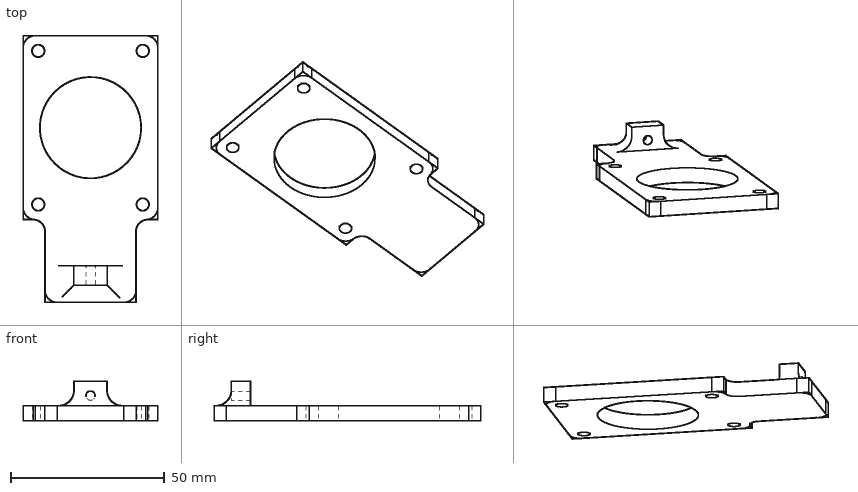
import cadquery as cq
import math

HEAD_WIDTH = 44.0
HEAD_LENGTH = 60.0
TOTAL_LENGTH = 87.0
TONGUE_WIDTH = 29.75
PLATE_THICKNESS = 5.0
CORNER_RADIUS = 4.0
WEB_RADIUS = 3.8

BORE_DIAMETER = 33.0
MOUNT_HOLE_DIAMETER = 4.0
MOUNT_HOLE_INSET = 5.0

TOTAL_HEIGHT = 13.0
LUG_WIDTH = 10.9
LUG_DEPTH = 6.35
LUG_FILLET = 5.0
LUG_TOE_GAP = 0.6
EDGE_BAND_INSET = 0.8
EDGE_BAND_DROP = 1.05
NUT_ACROSS_FLATS = 5.6
SCREW_HOLE_DIAMETER = 3.0
SCREW_HEIGHT = 3.3

HEAD_FRONT = -HEAD_LENGTH / 2
HEAD_BACK = HEAD_LENGTH / 2
TONGUE_END = HEAD_BACK - TOTAL_LENGTH
HEAD_SIDE = HEAD_WIDTH / 2
TONGUE_SIDE = TONGUE_WIDTH / 2
LUG_TOE = TONGUE_END + LUG_TOE_GAP
LUG_FRONT = LUG_TOE + LUG_FILLET
LUG_BACK = LUG_FRONT + LUG_DEPTH
LUG_SIDE = LUG_WIDTH / 2
SCREW_Z = PLATE_THICKNESS + SCREW_HEIGHT

CORNERS = [
    (side * half_width, y, -side, inward)
    for half_width, y, inward in [
        (HEAD_SIDE, HEAD_BACK, -1),
        (HEAD_SIDE, HEAD_FRONT, 1),
        (TONGUE_SIDE, TONGUE_END, 1),
    ]
    for side in (-1, 1)
]


def spandrel(x, y, toward_x, toward_y, radius):
    """Prism between a square corner and the arc that rounds it, as thick as the plate."""
    to_middle = radius * (1 - math.sqrt(0.5))
    return (
        cq.Workplane("XY")
        .moveTo(x, y)
        .lineTo(x + toward_x * radius, y)
        .threePointArc(
            (x + toward_x * to_middle, y + toward_y * to_middle),
            (x, y + toward_y * radius),
        )
        .close()
        .extrude(PLATE_THICKNESS)
    )


def block(x_side, y_front, y_back, z_bottom, z_top):
    """Box centred on X = 0."""
    return (
        cq.Workplane("XY", origin=(0, y_front, z_bottom))
        .box(2 * x_side, y_back - y_front, z_top - z_bottom, centered=(True, False, False))
    )


def make_plate():
    plate = block(HEAD_SIDE, HEAD_FRONT, HEAD_BACK, 0, PLATE_THICKNESS)
    plate = plate.union(block(TONGUE_SIDE, TONGUE_END, HEAD_FRONT, 0, PLATE_THICKNESS))
    mount_holes = (
        cq.Workplane("XY")
        .rect(HEAD_WIDTH - 2 * MOUNT_HOLE_INSET, HEAD_LENGTH - 2 * MOUNT_HOLE_INSET, forConstruction=True)
        .vertices()
        .circle(MOUNT_HOLE_DIAMETER / 2)
        .extrude(PLATE_THICKNESS)
    )
    bore = cq.Workplane("XY").circle(BORE_DIAMETER / 2).extrude(PLATE_THICKNESS)
    plate = plate.cut(mount_holes).cut(bore)
    for corner in CORNERS:
        plate = plate.cut(spandrel(*corner, CORNER_RADIUS))
    for side in (-1, 1):
        web = spandrel(side * TONGUE_SIDE, HEAD_FRONT, side, -1, WEB_RADIUS)
        plate = plate.union(web, clean=False)
    return plate


def flared_profile(plane, low, high, flare_low):
    """Sketch of the lug in a vertical plane, flared at the high end and, if asked, at the low end."""
    arc_end = PLATE_THICKNESS + LUG_FILLET
    to_middle = LUG_FILLET * (1 - math.sqrt(0.5))
    middle_z = PLATE_THICKNESS + to_middle
    sketch = (
        cq.Workplane(plane)
        .moveTo(high, TOTAL_HEIGHT)
        .lineTo(high, arc_end)
        .threePointArc((high + to_middle, middle_z), (high + LUG_FILLET, PLATE_THICKNESS))
    )
    if flare_low:
        sketch = (
            sketch.lineTo(low - LUG_FILLET, PLATE_THICKNESS)
            .threePointArc((low - to_middle, middle_z), (low, arc_end))
        )
    else:
        sketch = sketch.lineTo(low, PLATE_THICKNESS)
    return sketch.lineTo(low, TOTAL_HEIGHT).close()


def make_lug():
    """Lug flared into the plate on its front and both sides, mitred where the flares meet."""
    across = flared_profile("XZ", -LUG_SIDE, LUG_SIDE, True).extrude(LUG_DEPTH + LUG_FILLET)
    across = across.translate((0, LUG_BACK, 0))
    half_flare = LUG_SIDE + LUG_FILLET
    along = (
        flared_profile("YZ", -LUG_BACK, -LUG_FRONT, False)
        .extrude(half_flare, both=True)
        .mirror("XZ")
    )
    return across.intersect(along)


def keep_outline(body, region):
    """Divide the faces of a body along the edge of a region without changing its shape."""
    return body.cut(region, clean=False).union(body.intersect(region), clean=False)


def add_lug_details(lug):
    band_bottom = TOTAL_HEIGHT - EDGE_BAND_DROP
    inner_side = LUG_SIDE - EDGE_BAND_INSET
    inner_front = LUG_FRONT + EDGE_BAND_INSET
    cap = block(LUG_SIDE, LUG_FRONT, LUG_BACK, band_bottom, TOTAL_HEIGHT)
    cap_middle = block(inner_side, inner_front, LUG_BACK, band_bottom, TOTAL_HEIGHT)
    lug = keep_outline(lug, cap.cut(cap_middle))

    screw_plane = cq.Workplane("XZ", origin=(0, LUG_BACK, SCREW_Z))
    nut_across_corners = NUT_ACROSS_FLATS / math.cos(math.pi / 6)
    nut = screw_plane.polygon(6, nut_across_corners).extrude(LUG_DEPTH + LUG_FILLET)
    lug = keep_outline(lug, nut)

    screw_hole = screw_plane.circle(SCREW_HOLE_DIAMETER / 2).extrude(LUG_DEPTH)
    return lug.cut(screw_hole, clean=False)


base = make_plate().union(add_lug_details(make_lug()), clean=False)
corner_pieces = [spandrel(*corner, CORNER_RADIUS) for corner in CORNERS]

result = cq.Compound.makeCompound([base.val(), *[piece.val() for piece in corner_pieces]])